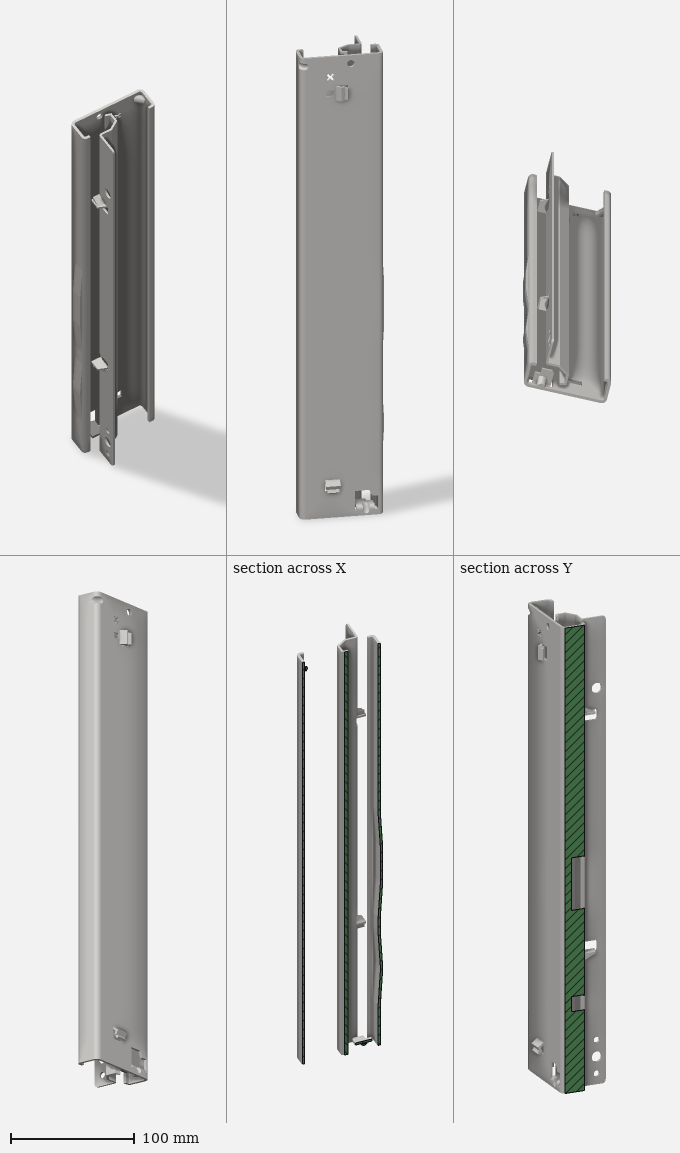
import cadquery as cq
import math

TOP_Z = 400.0
CHANNEL_Z0 = 1.0
CHANNEL_WIDTH = 69.0
CHANNEL_DEPTH = 21.5
SHEET = 2.5
LIP_HEIGHT = 6.5
WEB_BEND = 4.5
LIP_BEND = 3.5

PAD_X0, PAD_X1 = 8.5, 19.0
PAD_HEIGHT = 2.0
PAD_RAMP = 34.0
PAD_SPANS = [(127.5, 232.0), (41.0, 113.0)]

CLIP_WIDTH = 12.0
CLIP_TIP_WIDTH = 10.0
CLIP_SHEET = 2.0
CLIP_REACH = 5.0
CLIP_WAIST = 3.0
CLIP_PEAK_AT = 4.0
CLIP_WAIST_AT = 7.0
CLIP_TIP_AT = 9.5
CLIP_WINDOW = 10.5
LOW_CLIP_Y, LOW_CLIP_ROOT_Z = 42.5, 34.0
HIGH_CLIP_Y, HIGH_CLIP_Z = 40.0, 368.5

WEB_HOLE_D = 6.0
WEB_HOLE_Y, WEB_HOLE_Z = 27.0, 393.0
CROSS_LENGTH, CROSS_ARM = 7.5, 2.0
CROSS_Y, CROSS_Z = 44.0, 382.0
RAMP_Y0, RAMP_Y1 = 41.5, 47.0
RAMP_WIDTH = 5.0
RAMP_SHALLOW, RAMP_DEEP = 0.5, 1.0

SHELF_Y0, SHELF_STEP_Y, SHELF_Y1 = 7.0, 12.0, 22.5
SHELF_REACH = 15.5
SHELF_SHORT_REACH = 11.0
SHELF_CORNER = 1.5
SHELF_BEND = 3.5
WINDOW_Y0, WINDOW_Y1 = 4.5, 24.0
WINDOW_Z0, WINDOW_STEP_Z, WINDOW_Z1 = 6.0, 17.5, 23.0
WINDOW_SLOPE = 2.5
SHELF_TOP_Z = WINDOW_Z0 + SHELF_BEND

DART_GROOVE_R = 3.0
DART_GROOVE_DEPTH = 5.0
DART_BOSS_R = 3.5
DART_BOSS_DEPTH = 9.5
DART_GROOVE_LENGTH, DART_BOSS_LENGTH = 12.0, 9.0
SHELF_DART_Y = 14.5
CORNER_DART_Z = 393.0

RAIL_SHEET = 1.8
RAIL_END_X = 45.0
RAIL_FLANGE_Y = 13.0
RAIL_WEB_X = 23.0
RAIL_SHOULDER_Y = 24.5
RAIL_CREST_X0, RAIL_CREST_X1, RAIL_CREST_Y = 11.0, 17.5, 32.0
RAIL_HOOK_X, RAIL_HOOK_Y = 9.5, 28.0
RAIL_BEND = 2.5
RAIL_LOW_CORNER, RAIL_HIGH_CORNER = 3.0, 2.5

RAIL_HOLE_X = 37.0
BIG_HOLE_D, SMALL_HOLE_D = 9.0, 5.0
HIGH_HOLE_Z, LOW_HOLE_Z = 339.0, 23.5
SMALL_HOLE_STEP = 14.5

TAB_PLACES = [(321.5, 1), (114.5, -1)]
TAB_WINDOW_X1 = 37.0
TAB_WINDOW_HEIGHT = 9.0
TAB_WINDOW_CORNER = 1.5
TAB_ROOT_X, TAB_TIP_X = 35.0, 32.5
TAB_TIP_Y = 6.5
GUSSET_LENGTH = 8.5
GUSSET_HEIGHT = 4.0


def box(x0, x1, y0, y1, z0, z1):
    """Block between the given planes."""
    return cq.Workplane("XY").box(x1 - x0, y1 - y0, z1 - z0, centered=False).translate((x0, y0, z0))


def sheet_outline(path, thickness):
    """Outline of a bent sheet whose one face follows the path, with its other face on the right of it."""
    normals = []
    for (ax, ay), (bx, by) in zip(path, path[1:]):
        length = math.hypot(bx - ax, by - ay)
        normals.append(((by - ay) / length, (ax - bx) / length))
    other_face = []
    for (x, y), (ux, uy), (vx, vy) in zip(path, normals[:1] + normals, normals + normals[-1:]):
        mitre = thickness / (1 + ux * vx + uy * vy)
        other_face.append((x + mitre * (ux + vx), y + mitre * (uy + vy)))
    return path + other_face[::-1]


def dart_bar(corner, across, inward, radius, depth, length):
    """Round bar lying across a bend, its deepest line at the given depth from the bend's sharp corner."""
    plane = cq.Plane(origin=corner, xDir=inward, normal=across)
    return cq.Workplane(plane).center(depth - radius, 0).circle(radius).extrude(length / 2, both=True)


def add_dart(body, corner, across, inward, bend_block):
    """Press a dart into a bend; the block bounds the side of the bend that holds metal."""
    boss = dart_bar(corner, across, inward, DART_BOSS_R, DART_BOSS_DEPTH, DART_BOSS_LENGTH)
    groove = dart_bar(corner, across, inward, DART_GROOVE_R, DART_GROOVE_DEPTH, DART_GROOVE_LENGTH)
    return body.union(boss.intersect(bend_block)).cut(groove)


def channel_section():
    outer = box(0, CHANNEL_DEPTH, 0, CHANNEL_WIDTH, CHANNEL_Z0, TOP_Z)
    outer = outer.edges("|Z and <X").fillet(WEB_BEND).edges("|Z and >X").fillet(LIP_BEND)
    inner = box(SHEET, CHANNEL_DEPTH - SHEET, SHEET, CHANNEL_WIDTH - SHEET, CHANNEL_Z0, TOP_Z)
    inner = inner.edges("|Z and <X").fillet(WEB_BEND - SHEET).edges("|Z and >X").fillet(LIP_BEND - SHEET)
    mouth = box(CHANNEL_DEPTH / 2, CHANNEL_DEPTH, LIP_HEIGHT, CHANNEL_WIDTH - LIP_HEIGHT, CHANNEL_Z0, TOP_Z)
    return outer.cut(inner).cut(mouth)


def pad(z0, z1, face_y):
    """Pad with two ramps, rising toward -Y from the plane Y = face_y."""
    top_y = face_y - PAD_HEIGHT
    outline = [(face_y, z0), (top_y, z0 + PAD_RAMP), (top_y, z1 - PAD_RAMP), (face_y, z1)]
    return cq.Workplane("YZ", origin=(PAD_X0, 0, 0)).polyline(outline).close().extrude(PAD_X1 - PAD_X0)


def clip():
    """Clip with its root at the origin, running toward -Z and standing out toward -X."""
    path = [
        (SHEET, 0),
        (0, 0),
        (-CLIP_REACH, -CLIP_PEAK_AT),
        (-CLIP_WAIST, -CLIP_WAIST_AT),
        (-CLIP_REACH, -CLIP_TIP_AT),
    ]
    outline = sheet_outline(path[::-1], CLIP_SHEET)
    strip = cq.Workplane("XZ").polyline(outline).close().extrude(CLIP_WIDTH / 2, both=True)
    ear = (CLIP_WIDTH - CLIP_TIP_WIDTH) / 2
    for y0 in (-CLIP_WIDTH / 2, CLIP_WIDTH / 2 - ear):
        strip = strip.cut(box(-2 * CLIP_REACH, 0, y0, y0 + ear, -2 * CLIP_WINDOW, -CLIP_WAIST_AT))
    return strip


def clip_window():
    return box(0, SHEET, -CLIP_WIDTH / 2, CLIP_WIDTH / 2, -CLIP_WINDOW, 0)


def at_low_clip(body):
    return body.translate((0, LOW_CLIP_Y, LOW_CLIP_ROOT_Z))


def at_high_clip(body):
    """Turn the clip so that it runs toward -Y."""
    return body.rotate((0, 0, 0), (1, 0, 0), -90).translate((0, HIGH_CLIP_Y, HIGH_CLIP_Z))


def web_hole():
    return cq.Workplane("YZ").center(WEB_HOLE_Y, WEB_HOLE_Z).circle(WEB_HOLE_D / 2).extrude(SHEET)


def cross_hole():
    """Two slits crossing at right angles, each at 45 degrees to the channel."""
    slit = cq.Workplane("YZ").rect(CROSS_LENGTH, CROSS_ARM).extrude(SHEET)
    cross = slit.union(slit.rotate((0, 0, 0), (1, 0, 0), 90)).rotate((0, 0, 0), (1, 0, 0), 45)
    return cross.translate((0, CROSS_Y, CROSS_Z))


def ramp_recess():
    """Shallow recess beside the upper clip, its floor sloping deeper toward -Y."""
    outline = [(0, RAMP_Y0), (RAMP_DEEP, RAMP_Y0), (RAMP_SHALLOW, RAMP_Y1), (0, RAMP_Y1)]
    recess = cq.Workplane("XY").polyline(outline).close().extrude(RAMP_WIDTH / 2, both=True)
    return recess.translate((0, 0, HIGH_CLIP_Z))


def shelf_window():
    outline = [
        (WINDOW_Y0, WINDOW_Z0),
        (WINDOW_Y1, WINDOW_Z0),
        (WINDOW_Y1, WINDOW_Z1),
        (SHELF_STEP_Y, WINDOW_Z1),
        (SHELF_STEP_Y - WINDOW_SLOPE, WINDOW_STEP_Z),
        (WINDOW_Y0, WINDOW_STEP_Z),
    ]
    return cq.Workplane("YZ").polyline(outline).close().extrude(SHEET)


def shelf():
    outline = [
        (0, SHELF_Y0),
        (SHELF_SHORT_REACH, SHELF_Y0),
        (SHELF_SHORT_REACH, SHELF_STEP_Y),
        (SHELF_REACH, SHELF_STEP_Y),
        (SHELF_REACH, SHELF_Y1),
        (0, SHELF_Y1),
    ]
    plate = cq.Workplane("XY").polyline(outline).close().extrude(SHELF_TOP_Z)
    plate = plate.edges("|Z and >X and >Y").chamfer(SHELF_CORNER).edges(">Z and <X").fillet(SHELF_BEND)
    under = box(SHEET, SHELF_REACH, SHELF_Y0, SHELF_Y1, 0, SHELF_TOP_Z - SHEET)
    under = under.edges(">Z and <X").fillet(SHELF_BEND - SHEET)
    foot = box(0, SHELF_REACH, SHELF_Y0, SHELF_Y1, 0, CHANNEL_Z0)
    return plate.cut(under).cut(foot)


def build_channel():
    body = channel_section()
    for z0, z1 in PAD_SPANS:
        body = body.union(pad(z0, z1, 0)).cut(pad(z0, z1, SHEET))
    for place in (at_low_clip, at_high_clip):
        body = body.cut(place(clip_window())).union(place(clip()))
    body = body.cut(web_hole()).cut(cross_hole()).cut(ramp_recess())
    body = body.cut(shelf_window()).union(shelf())
    shelf_block = box(0, SHELF_REACH, SHELF_Y0, SHELF_Y1, CHANNEL_Z0, SHELF_TOP_Z)
    body = add_dart(body, (0, SHELF_DART_Y, SHELF_TOP_Z), (1, 0, 1), (1, 0, -1), shelf_block)
    corner_block = box(0, CHANNEL_DEPTH, 0, CHANNEL_WIDTH, CHANNEL_Z0, TOP_Z)
    return add_dart(body, (0, CHANNEL_WIDTH, CORNER_DART_Z), (1, 1, 0), (1, -1, 0), corner_block)


def rail_section():
    path = [
        (RAIL_END_X, RAIL_FLANGE_Y),
        (RAIL_WEB_X, RAIL_FLANGE_Y),
        (RAIL_WEB_X, RAIL_SHOULDER_Y),
        (RAIL_CREST_X1, RAIL_CREST_Y),
        (RAIL_CREST_X0, RAIL_CREST_Y),
        (RAIL_HOOK_X, RAIL_HOOK_Y),
    ]
    section = cq.Workplane("XY").polyline(sheet_outline(path, RAIL_SHEET)).close().extrude(TOP_Z)
    bend_x, bend_y = RAIL_WEB_X, RAIL_FLANGE_Y
    section = section.edges(cq.NearestToPointSelector((bend_x, bend_y, TOP_Z / 2))).fillet(RAIL_BEND)
    inner_bend = (bend_x + RAIL_SHEET, bend_y + RAIL_SHEET, TOP_Z / 2)
    section = section.edges(cq.NearestToPointSelector(inner_bend)).fillet(RAIL_BEND - RAIL_SHEET)
    section = section.edges("|Y and >X and <Z").fillet(RAIL_LOW_CORNER)
    return section.edges("|Y and >X and >Z").fillet(RAIL_HIGH_CORNER)


def flange_hole(z, diameter):
    hole = cq.Workplane("XZ").center(RAIL_HOLE_X, z).circle(diameter / 2).extrude(-RAIL_SHEET)
    return hole.translate((0, RAIL_FLANGE_Y, 0))


def tab_window(end_z, direction):
    far_z = end_z - direction * TAB_WINDOW_HEIGHT
    low_z, high_z = sorted((end_z, far_z))
    window = box(RAIL_WEB_X, TAB_WINDOW_X1, RAIL_FLANGE_Y, RAIL_FLANGE_Y + RAIL_SHEET, low_z, high_z)
    return window.edges("|Y and >X").fillet(TAB_WINDOW_CORNER)


def tab(end_z, direction):
    """Tab standing toward -Y at the window end, with a gusset on the side away from the window."""
    back_y = RAIL_FLANGE_Y + RAIL_SHEET
    outline = [
        (RAIL_WEB_X, back_y),
        (RAIL_WEB_X, TAB_TIP_Y),
        (TAB_TIP_X, TAB_TIP_Y),
        (TAB_ROOT_X, RAIL_FLANGE_Y),
        (TAB_ROOT_X, back_y),
    ]
    plate = cq.Workplane("XY").polyline(outline).close().extrude(-direction * RAIL_SHEET)
    gusset_outline = [(0, 0), (0, direction * GUSSET_HEIGHT), (GUSSET_LENGTH, 0)]
    gusset = cq.Workplane("XZ").polyline(gusset_outline).close().extrude(RAIL_FLANGE_Y - TAB_TIP_Y)
    gusset = gusset.translate((RAIL_WEB_X + RAIL_BEND / 2, RAIL_FLANGE_Y + RAIL_SHEET / 2, 0))
    return plate.union(gusset).translate((0, 0, end_z))


def build_rail():
    body = rail_section()
    for z in (HIGH_HOLE_Z, LOW_HOLE_Z):
        body = body.cut(flange_hole(z, BIG_HOLE_D))
    for side in (-1, 1):
        body = body.cut(flange_hole(LOW_HOLE_Z + side * SMALL_HOLE_STEP, SMALL_HOLE_D))
    for end_z, direction in TAB_PLACES:
        body = body.cut(tab_window(end_z, direction)).union(tab(end_z, direction))
    return body


channel = build_channel()
rail = build_rail()
result = cq.Compound.makeCompound([channel.val(), rail.val()])